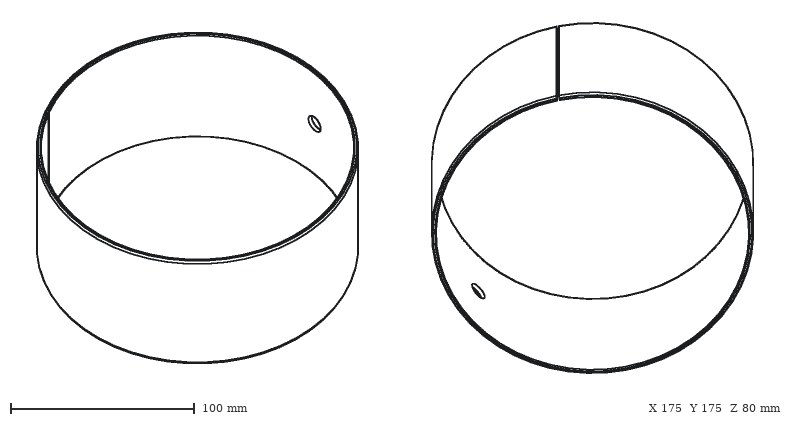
import cadquery as cq

outer_diameter = 175.0
height = 80.0
wall = 2.5
bevel_depth = 0.7
outer_bevel_height = 1.8
inner_bevel_height = 0.7
slit_width = 1.4
hole_diameter = 10.0
hole_angle = 59.0

outer_radius = outer_diameter / 2
inner_radius = outer_radius - wall
rim_z = height / 2
outer_bevel_z = rim_z - outer_bevel_height
inner_bevel_z = rim_z - inner_bevel_height
cut_reach = outer_radius + wall


def bevelled_ring():
    """Thin ring centred on the origin, with steep outer and shallow inner bevels on both rims."""
    section = [
        (inner_radius, -inner_bevel_z),
        (inner_radius + bevel_depth, -rim_z),
        (outer_radius - bevel_depth, -rim_z),
        (outer_radius, -outer_bevel_z),
        (outer_radius, outer_bevel_z),
        (outer_radius - bevel_depth, rim_z),
        (inner_radius + bevel_depth, rim_z),
        (inner_radius, inner_bevel_z),
    ]
    return cq.Workplane("XZ").polyline(section).close().revolve(360, (0, 0), (0, 1))


def slit_cutter():
    """Full-height slit through the wall on the -X side."""
    slit = cq.Workplane("XY").box(cut_reach, slit_width, 2 * height)
    return slit.translate((-cut_reach / 2, slit_width / 2, 0))


def hole_cutter():
    """Radial hole at mid-height through one side of the wall."""
    hole = cq.Workplane("YZ").circle(hole_diameter / 2).extrude(cut_reach)
    return hole.rotate((0, 0, 0), (0, 0, 1), hole_angle)


result = bevelled_ring().cut(slit_cutter()).cut(hole_cutter())